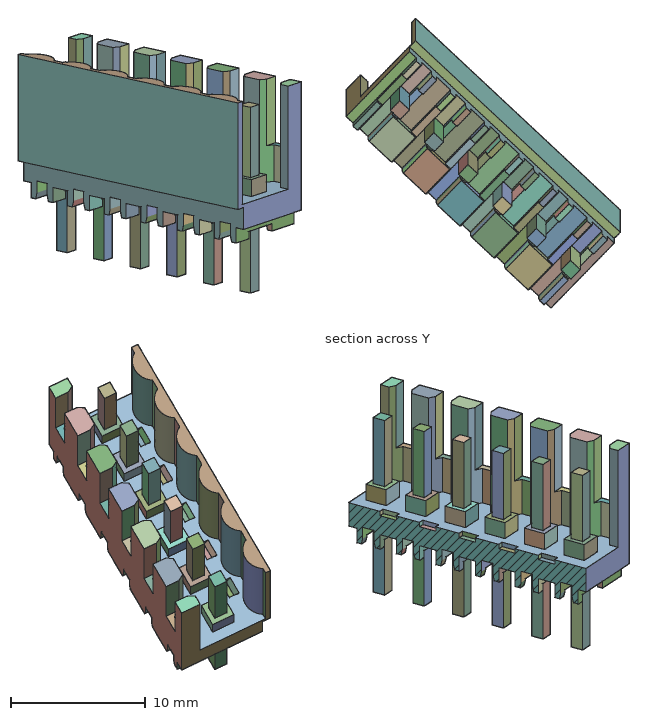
import cadquery as cq

PIN_COUNT = 6
LENGTH = 21.0
DEPTH = 7.45
PITCH = LENGTH / PIN_COUNT
CELL_CENTRES = [(i - (PIN_COUNT - 1) / 2) * PITCH for i in range(PIN_COUNT)]
CELL_BORDERS = [(i + 1 - PIN_COUNT / 2) * PITCH for i in range(PIN_COUNT - 1)]

WALL_TOP = 9.9
FLOOR_TOP = 1.95
FRONT_LIP_BOTTOM = 1.68
FOOT_HEIGHT = 1.18

BASE_FRONT = 0.65
FRONT_FOOT_DEPTH = 1.5
REAR_FOOT_DEPTH = 2.58
FOOT_GROOVE_HEIGHT = 0.57
CELL_GAP_WIDTH = 1.4
FOOT_LENGTH = LENGTH - CELL_GAP_WIDTH
GROOVE_FRONT = BASE_FRONT + FRONT_FOOT_DEPTH
GROOVE_BACK = DEPTH - REAR_FOOT_DEPTH

NOTCH_WIDTH = 0.97
NOTCH_TOP = 0.2
NOTCH_FLARE = 0.13
NOTCH_FLARE_HEIGHT = 0.46

FRONT_WEB = 0.42
RIGHT_END_WEB = 0.55
BULGE_TOP = 1.18
BULGE_HALF_WIDTH = 1.35

BACK_WALL = 1.55
BACK_WEB = 0.55
RECESS_FRONT_WIDTH = 2.0
RECESS_BACK_WIDTH = 0.8
SLOT_WIDTH = 1.4
SLOT_BOTTOM = FLOOR_TOP + 2.81

POCKET_FRONT = 1.15
POCKET_BACK = 1.97
POCKET_DEPTH = 0.35
POCKET_RAMP = POCKET_DEPTH

PIN_SIZE = 1.0
PIN_Y = 3.5
PIN_TOP = 8.67
PIN_BOTTOM = -5.65
COLLAR_SIZE = 1.78
COLLAR_HEIGHT = 1.3


def block(x_size, y_front, y_back, z_bottom, z_top, x_centre=0.0):
    """Box centred on x_centre, between the given Y and Z limits."""
    box = cq.Workplane("XY").box(x_size, y_back - y_front, z_top - z_bottom, centered=(True, False, False))
    return box.translate((x_centre, y_front, z_bottom))


def square_post(x, size, z_bottom, z_top):
    """Square post standing on the pin line."""
    return block(size, PIN_Y - size / 2, PIN_Y + size / 2, z_bottom, z_top, x)


def base():
    """Floor slab with its front lip, and the grooved foot layer below it."""
    slab = block(LENGTH, BASE_FRONT, DEPTH, 0, FLOOR_TOP)
    lip = block(LENGTH, 0, BASE_FRONT, FRONT_LIP_BOTTOM, FLOOR_TOP)
    feet = block(FOOT_LENGTH, BASE_FRONT, DEPTH, -FOOT_HEIGHT, 0)
    groove = block(LENGTH, GROOVE_FRONT, GROOVE_BACK, -FOOT_HEIGHT, -FOOT_HEIGHT + FOOT_GROOVE_HEIGHT)
    return slab.union(lip).union(feet.cut(groove))


def front_wall():
    """Front wall with one round bulge on its inner face for every cell."""
    half = LENGTH / 2
    outline = cq.Workplane("XY").moveTo(half, 0).lineTo(-half, 0).lineTo(-half, FRONT_WEB)
    for x in CELL_CENTRES:
        outline = outline.lineTo(x - BULGE_HALF_WIDTH, FRONT_WEB)
        outline = outline.threePointArc((x, BULGE_TOP), (x + BULGE_HALF_WIDTH, FRONT_WEB))
    wall = outline.lineTo(half, FRONT_WEB).close().extrude(WALL_TOP - FLOOR_TOP)
    wall = wall.translate((0, 0, FLOOR_TOP))
    end_length = half - CELL_CENTRES[-1]
    end_web = block(end_length, 0, RIGHT_END_WEB, FLOOR_TOP, WALL_TOP, half - end_length / 2)
    return wall.union(end_web)


def back_wall():
    """Back wall with a tapered recess and an open-topped slot for every cell."""
    front_face = DEPTH - BACK_WALL
    recess_back = DEPTH - BACK_WEB
    wall = block(LENGTH, front_face, DEPTH, FLOOR_TOP, WALL_TOP)
    for x in CELL_CENTRES:
        recess = (
            cq.Workplane("XY", origin=(x, 0, FLOOR_TOP))
            .moveTo(-RECESS_FRONT_WIDTH / 2, front_face)
            .lineTo(RECESS_FRONT_WIDTH / 2, front_face)
            .lineTo(RECESS_BACK_WIDTH / 2, recess_back)
            .lineTo(-RECESS_BACK_WIDTH / 2, recess_back)
            .close()
            .extrude(WALL_TOP - FLOOR_TOP)
        )
        slot = block(SLOT_WIDTH, front_face, DEPTH, SLOT_BOTTOM, WALL_TOP, x)
        wall = wall.cut(recess).cut(slot)
    return wall


def foot_notch(x):
    """Notch under a pin, running front to back and flaring at the bottom of the feet."""
    half = NOTCH_WIDTH / 2
    flare_top = -FOOT_HEIGHT + NOTCH_FLARE_HEIGHT
    profile = (
        cq.Workplane("XZ", origin=(x, 0, 0))
        .moveTo(-half, NOTCH_TOP)
        .lineTo(half, NOTCH_TOP)
        .lineTo(half, flare_top)
        .lineTo(half + NOTCH_FLARE, -FOOT_HEIGHT)
        .lineTo(-half - NOTCH_FLARE, -FOOT_HEIGHT)
        .lineTo(-half, flare_top)
        .close()
    )
    return profile.extrude(-DEPTH)


def floor_pocket(x):
    """Blind pocket in the floor with a ramp down from its front edge."""
    pocket_floor = FLOOR_TOP - POCKET_DEPTH
    profile = (
        cq.Workplane("YZ", origin=(x - CELL_GAP_WIDTH / 2, 0, 0))
        .moveTo(POCKET_FRONT, FLOOR_TOP)
        .lineTo(POCKET_FRONT + POCKET_RAMP, pocket_floor)
        .lineTo(POCKET_BACK, pocket_floor)
        .lineTo(POCKET_BACK, FLOOR_TOP)
        .close()
    )
    return profile.extrude(CELL_GAP_WIDTH)


def pin(x):
    """Straight square contact pin."""
    return square_post(x, PIN_SIZE, PIN_BOTTOM, PIN_TOP)


def build_housing():
    body = base().union(front_wall()).union(back_wall())
    for x in CELL_CENTRES:
        collar = square_post(x, COLLAR_SIZE, FLOOR_TOP, FLOOR_TOP + COLLAR_HEIGHT)
        body = body.union(collar).cut(foot_notch(x)).cut(pin(x))
    for x in CELL_BORDERS:
        foot_gap = block(CELL_GAP_WIDTH, BASE_FRONT, GROOVE_BACK, -FOOT_HEIGHT, 0, x)
        body = body.cut(foot_gap).cut(floor_pocket(x))
    return body.solids()


housing = build_housing()
pins = [pin(x) for x in CELL_CENTRES]

result = cq.Compound.makeCompound([housing.val(), *[p.val() for p in pins]])